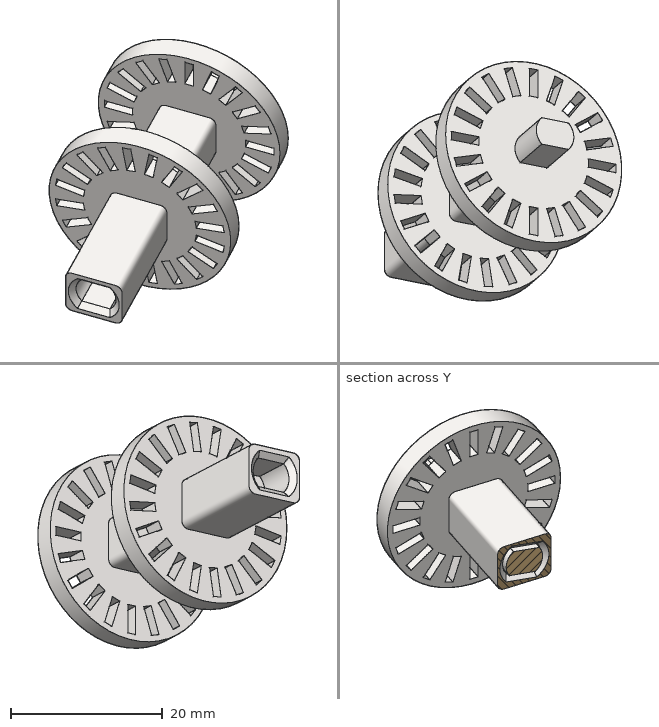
import cadquery as cq


total_length = 43.5
sleeve_width = 8.0
sleeve_height = 7.0
sleeve_corner_radius = 1.0
front_sleeve_length = 16.0
rear_sleeve_length = 13.8
stub_length = 10.0
stub_radius = 2.75
stub_half_flat = 1.9
front_stub_base_radius = 1.0

socket_clearance = 0.1
socket_chamfer = 0.8
socket_depth = 6.52

disc_diameter = 25.75
disc_thickness = 3.0
front_disc_gap = 0.45
rear_disc_gap = 0.52
slot_count = 20
slot_inner_radius = 8.0
slot_outer_radius = 12.0
slot_width = 1.2

front_stub_start = front_sleeve_length
front_disc_start = front_stub_start + front_disc_gap
rear_stub_start = total_length - stub_length
rear_disc_start = rear_stub_start + rear_disc_gap
rear_sleeve_start = rear_stub_start - rear_sleeve_length

slot_pitch = 360.0 / slot_count
front_joint_angle = slot_pitch / 2


def turn(body, angle):
    """Turn a body about the Y axis."""
    return body.rotate((0, 0, 0), (0, 1, 0), angle)


def block_along_y(width, height, start, length):
    """Rectangular block centred on the Y axis."""
    block = cq.Workplane("XY").box(width, length, height, centered=(True, False, True))
    return block.translate((0, start, 0))


def cylinder_along_y(radius, start, length):
    """Round bar on the Y axis."""
    return cq.Workplane("XZ", origin=(0, start, 0)).circle(radius).extrude(-length)


def double_d(radius, half_flat, start, length):
    """Round bar with flats above and below."""
    slab = block_along_y(2 * radius, 2 * half_flat, start, length)
    return cylinder_along_y(radius, start, length).intersect(slab)


def make_stub(start):
    return double_d(stub_radius, stub_half_flat, start, stub_length)


def make_socket(start):
    """Cutting body for a double-D socket whose mouth widens at 45 degrees."""
    radius = stub_radius + socket_clearance
    half_flat = stub_half_flat + socket_clearance
    mouth_radius = radius + socket_chamfer
    mouth_half_flat = half_flat + socket_chamfer
    mouth_end = start + socket_chamfer
    cone = (
        cq.Workplane("XY")
        .polyline([(0, start), (mouth_radius, start), (radius, mouth_end), (0, mouth_end)])
        .close()
        .revolve(360, (0, 0, 0), (0, 1, 0))
    )
    wedge = (
        cq.Workplane("YZ")
        .polyline([
            (start, -mouth_half_flat),
            (start, mouth_half_flat),
            (mouth_end, half_flat),
            (mouth_end, -half_flat),
        ])
        .close()
        .extrude(mouth_radius, both=True)
    )
    mouth = cone.intersect(wedge)
    return double_d(radius, half_flat, start, socket_depth).union(mouth)


def make_sleeve(start, length):
    block = block_along_y(sleeve_width, sleeve_height, start, length)
    return block.edges("|Y").fillet(sleeve_corner_radius)


def round_stub_base(shaft, start):
    """Fillet the inner corner where the stub leaves the rear face of the sleeve."""
    reach = (stub_radius + sleeve_height / 2) / 2
    search_depth = 0.05
    base_edges = cq.selectors.BoxSelector(
        (-reach, start - search_depth, -reach),
        (reach, start + search_depth, reach),
    )
    return shaft.edges(base_edges).fillet(front_stub_base_radius)


def make_front_shaft():
    """Shaft with a turned stub that is filleted where it meets the sleeve."""
    sleeve = make_sleeve(0, front_sleeve_length)
    turned_stub = turn(make_stub(front_stub_start), front_joint_angle)
    shaft = round_stub_base(sleeve.union(turned_stub), front_stub_start)
    return shaft.cut(make_socket(0))


def make_rear_shaft():
    """Shaft with a turned socket for the front shaft's stub and a plain stub of its own."""
    sleeve = make_sleeve(rear_sleeve_start, rear_sleeve_length)
    turned_socket = turn(make_socket(rear_sleeve_start), front_joint_angle)
    return sleeve.cut(turned_socket).union(make_stub(rear_stub_start))


def make_disc(shaft, start, angle):
    """Disc with radial through slots and a bore that fits the shaft it sits on."""
    disc = cylinder_along_y(disc_diameter / 2, start, disc_thickness)
    slot_length = slot_outer_radius - slot_inner_radius
    slot_middle_radius = (slot_inner_radius + slot_outer_radius) / 2
    slot = block_along_y(slot_width, slot_length, start, disc_thickness)
    slot = slot.translate((0, 0, slot_middle_radius))
    for index in range(slot_count):
        disc = disc.cut(turn(slot, angle + index * slot_pitch))
    return disc.cut(shaft)


front_shaft = make_front_shaft()
rear_shaft = make_rear_shaft()
disc_places = [
    (front_shaft, front_disc_start, front_joint_angle),
    (rear_shaft, rear_disc_start, 0),
]
discs = [make_disc(shaft, start, angle) for shaft, start, angle in disc_places]

result = cq.Compound.makeCompound(
    [front_shaft.val(), rear_shaft.val(), *[disc.val() for disc in discs]]
)